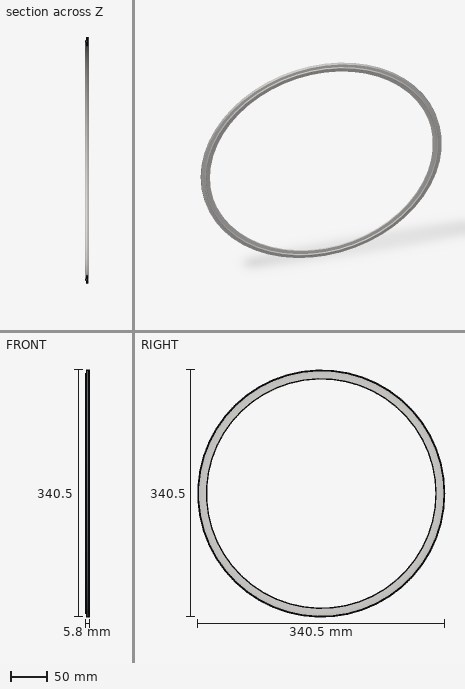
import cadquery as cq

outer_radius = 340.5 / 2
inner_radius = 316.0 / 2
total_thickness = 5.8
web_thickness = 2.0
lip_width = 1.0
bead_height = 1.5
bead_width = 2.4
bead_center_radius = 164.5

bead_tip_x = -total_thickness / 2
front_x = bead_tip_x + bead_height
web_back_x = front_x + web_thickness
lip_back_x = total_thickness / 2

bead_round_radius = bead_width / 2
bead_round_x = bead_tip_x + bead_round_radius
bead_inner_radius = bead_center_radius - bead_round_radius
bead_outer_radius = bead_center_radius + bead_round_radius

lip_inner_radius = outer_radius - lip_width


def ring_section():
    """Section of the ring in the XY plane (Y is the radius): web, bead and lip."""
    return (
        cq.Workplane("XY")
        .moveTo(web_back_x, inner_radius)
        .lineTo(front_x, inner_radius)
        .lineTo(front_x, bead_inner_radius)
        .lineTo(bead_round_x, bead_inner_radius)
        .threePointArc((bead_tip_x, bead_center_radius), (bead_round_x, bead_outer_radius))
        .lineTo(front_x, bead_outer_radius)
        .lineTo(front_x, outer_radius)
        .lineTo(lip_back_x, outer_radius)
        .lineTo(lip_back_x, lip_inner_radius)
        .lineTo(web_back_x, lip_inner_radius)
        .close()
    )


result = ring_section().revolve(360, (0, 0, 0), (1, 0, 0))